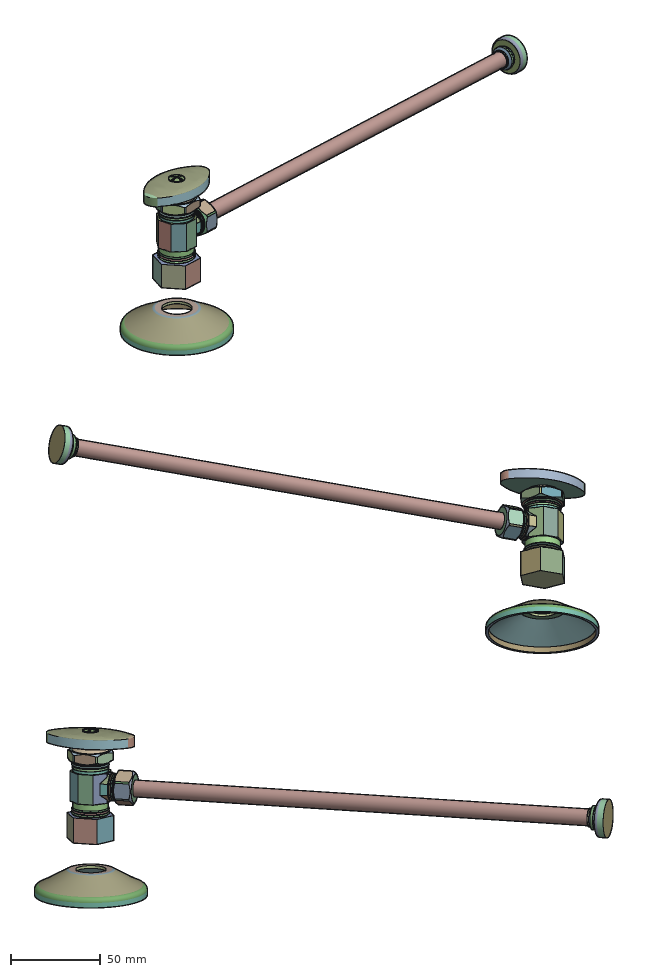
import cadquery as cq
import math


ESC_RADIUS = 31.75
ESC_HEIGHT = 14.7
ESC_WALL = 1.6
ESC_TOP_RADIUS = 13.0
ESC_HOLE_RADIUS = 8.5
ESC_RIM_HEIGHT = 2.8
ESC_SHOULDER_RADIUS = 29.3
ESC_SHOULDER_HEIGHT = 5.6
ESC_TOP_EDGE_ROUND = 3.0

VALVE_Y = -0.25

INLET_NUT_BOTTOM = 32.0
INLET_NUT_TOP = 46.5
INLET_THREAD_TOP = 50.5
BODY_BOTTOM = 54.3
BODY_TOP = 71.5
UPPER_NECK_TOP = 74.5
BONNET_NUT_BOTTOM = 77.4
BONNET_NUT_TOP = 83.6
BONNET_TOP = 85.5
NUT_FLATS = 23.6
BODY_FLATS = 21.6
NECK_RADIUS = 10.0
NECK_LEDGE_HEIGHT = 1.7
NECK_LEDGE_RADIUS = 10.3
THREAD_RADIUS = 10.6
THREAD_DEPTH = 0.7
THREAD_PITCH = 1.3
STEM_RADIUS = 4.8
NUT_CORNER_TRIM = 0.3
NUT_CHAMFER_HEIGHT = 1.2
NUT_CHAMFER_WIDTH = 1.8
BONNET_CONE_RADIUS = 10.5
BONNET_CONE_BASE = 0.1

OUTLET_Z = 62.85
OUTLET_FLATS = 15.6
OUTLET_BOSS_END = 12.0
OUTLET_NUT_START = 15.3
OUTLET_NUT_END = 25.8
OUTLET_NUT_FLATS = 17.7
OUTLET_THREAD_RADIUS = 7.8
TUBE_SOCKET_START = OUTLET_NUT_START

TUBE_RADIUS = 4.8
TUBE_START = TUBE_SOCKET_START + VALVE_Y
TUBE_END = 299.85
FLANGE_RADIUS = 10.9
FLANGE_FACE_RADIUS = 10.0
FLANGE_RIM = 3.4
FLANGE_THICKNESS = 5.4
COLLAR_NECK_RADIUS = 6.2
COLLAR_RADIUS = 6.9
COLLAR_START = 7.2
COLLAR_END = 8.8
COLLAR_TAPER_END = 9.9
COLLAR_LIP_RADIUS = 5.4
COLLAR_LIP_END = 10.9

HANDLE_BOTTOM = 87.0
HANDLE_CREST = 94.4
HANDLE_TOP = 95.59
HANDLE_HALF_LENGTH = 25.4
HANDLE_HALF_WIDTH = 13.8
HANDLE_CORNER_X = 5.0
HANDLE_CORNER_Y = 23.2
HANDLE_RIM = 92.3
SCREW_RADIUS = 4.6
SCREW_EDGE_HEIGHT = 0.5
SCREW_SLOT_WIDTH = 1.0
SCREW_SLOT_LENGTH = 7.6
SCREW_SLOT_DEPTH = 0.8

HEX_SIDES = 6
HEX_TURN = 90
OCTAGON_SIDES = 8
OCTAGON_TURN = 180 / OCTAGON_SIDES


def corner_diameter(flats, sides):
    """Circumscribed diameter of a regular polygon measured across its flats."""
    return flats / math.cos(math.pi / sides)


def disc(radius, start, end):
    """Cylinder on the Z axis between two heights."""
    return cq.Workplane("XY").workplane(offset=start).circle(radius).extrude(end - start)


def prism(flats, sides, turn, start, end):
    """Regular prism on the Z axis, turned about it by an angle in degrees."""
    bar = cq.Workplane("XY").polygon(sides, corner_diameter(flats, sides)).extrude(end - start)
    return bar.rotate((0, 0, 0), (0, 0, 1), turn).translate((0, 0, start))


def hex_nut(flats, start, end):
    """Hexagonal nut on the Z axis, its corners turned off at both ends by a shallow cone."""
    blank = disc(corner_diameter(flats, HEX_SIDES) / 2 - NUT_CORNER_TRIM, start, end)
    turned = blank.edges("%CIRCLE").chamfer(NUT_CHAMFER_HEIGHT, NUT_CHAMFER_WIDTH)
    return prism(flats, HEX_SIDES, HEX_TURN, start, end).intersect(turned)


def thread(radius, start, end):
    """Threaded stretch on the Z axis, as a row of V-shaped rings."""
    turns = max(1, round((end - start) / THREAD_PITCH))
    pitch = (end - start) / turns
    outline = cq.Workplane("XZ").moveTo(0, start).lineTo(radius - THREAD_DEPTH, start)
    for turn in range(turns):
        root = start + turn * pitch
        outline = outline.lineTo(radius, root + pitch / 2)
        outline = outline.lineTo(radius - THREAD_DEPTH, root + pitch)
    return outline.lineTo(0, end).close().revolve(360, (0, 0, 0), (0, 1, 0))


def along_outlet(shape):
    """Lay a shape built on the Z axis along +Y at the outlet height."""
    return shape.rotate((0, 0, 0), (1, 0, 0), -90).translate((0, 0, OUTLET_Z))


def make_escutcheon():
    """Thin domed cover: short rim, rounded shoulder, cone and a flat top with a hole."""
    slope = math.atan2(ESC_HEIGHT - ESC_SHOULDER_HEIGHT, ESC_SHOULDER_RADIUS - ESC_TOP_RADIUS)
    inner_rim_radius = ESC_RADIUS - ESC_WALL
    inner_top_height = ESC_HEIGHT - ESC_WALL
    inner_top_radius = ESC_TOP_RADIUS - ESC_WALL * math.tan(slope / 2)
    inner_shoulder_height = inner_top_height - (inner_rim_radius - inner_top_radius) * math.tan(slope)
    shell = (
        cq.Workplane("XZ")
        .moveTo(inner_rim_radius, 0)
        .lineTo(ESC_RADIUS, 0)
        .lineTo(ESC_RADIUS, ESC_RIM_HEIGHT)
        .tangentArcPoint((ESC_SHOULDER_RADIUS, ESC_SHOULDER_HEIGHT), relative=False)
        .lineTo(ESC_TOP_RADIUS, ESC_HEIGHT)
        .lineTo(ESC_HOLE_RADIUS, ESC_HEIGHT)
        .lineTo(ESC_HOLE_RADIUS, inner_top_height)
        .lineTo(inner_top_radius, inner_top_height)
        .lineTo(inner_rim_radius, inner_shoulder_height)
        .close()
        .revolve(360, (0, 0, 0), (0, 1, 0))
    )
    cone_top_edge = shell.faces(">Z").edges(cq.selectors.RadiusNthSelector(-1))
    return cone_top_edge.fillet(ESC_TOP_EDGE_ROUND)


def make_column():
    """Vertical stack of the valve: inlet nut, threads, octagonal body, bonnet nut and stem."""
    column = prism(NUT_FLATS, HEX_SIDES, HEX_TURN, INLET_NUT_BOTTOM, INLET_NUT_TOP)
    column = column.union(thread(THREAD_RADIUS, INLET_NUT_TOP, INLET_THREAD_TOP))
    column = column.union(disc(NECK_RADIUS, INLET_THREAD_TOP, BODY_BOTTOM))
    column = column.union(prism(BODY_FLATS, OCTAGON_SIDES, OCTAGON_TURN, BODY_BOTTOM, BODY_TOP))
    column = column.union(disc(NECK_RADIUS, BODY_TOP, UPPER_NECK_TOP))
    column = column.union(disc(NECK_LEDGE_RADIUS, BODY_TOP + NECK_LEDGE_HEIGHT, UPPER_NECK_TOP))
    column = column.union(thread(THREAD_RADIUS, UPPER_NECK_TOP, BONNET_NUT_BOTTOM))
    column = column.union(hex_nut(NUT_FLATS, BONNET_NUT_BOTTOM, BONNET_NUT_TOP))
    cone = disc(BONNET_CONE_RADIUS, BONNET_NUT_TOP, BONNET_TOP).faces(">Z")
    column = column.union(cone.chamfer(BONNET_TOP - BONNET_NUT_TOP - BONNET_CONE_BASE))
    return column.union(disc(STEM_RADIUS, BONNET_TOP, HANDLE_BOTTOM))


def make_outlet():
    """Side outlet: octagonal boss, thread and hexagonal compression nut."""
    outlet = prism(OUTLET_FLATS, OCTAGON_SIDES, OCTAGON_TURN, 0, OUTLET_BOSS_END)
    outlet = outlet.union(thread(OUTLET_THREAD_RADIUS, OUTLET_BOSS_END, OUTLET_NUT_START))
    return along_outlet(outlet.union(hex_nut(OUTLET_NUT_FLATS, OUTLET_NUT_START, OUTLET_NUT_END)))


def make_valve():
    """Valve with a blind socket in its outlet nut for the riser tube."""
    socket = along_outlet(disc(TUBE_RADIUS, TUBE_SOCKET_START, OUTLET_NUT_END))
    return make_column().union(make_outlet()).cut(socket).translate((0, VALVE_Y, 0))


def make_tube():
    """Riser tube with a collar and a sealing flange at its far end."""
    flange_round_middle = (
        FLANGE_FACE_RADIUS + (FLANGE_RADIUS - FLANGE_FACE_RADIUS) * math.sin(math.pi / 4),
        TUBE_END - FLANGE_RIM - (FLANGE_THICKNESS - FLANGE_RIM) * math.cos(math.pi / 4),
    )
    profile = (
        cq.Workplane("XZ")
        .moveTo(0, TUBE_START)
        .lineTo(TUBE_RADIUS, TUBE_START)
        .lineTo(TUBE_RADIUS, TUBE_END - COLLAR_LIP_END)
        .lineTo(COLLAR_LIP_RADIUS, TUBE_END - COLLAR_LIP_END)
        .lineTo(COLLAR_LIP_RADIUS, TUBE_END - COLLAR_TAPER_END)
        .lineTo(COLLAR_RADIUS, TUBE_END - COLLAR_END)
        .lineTo(COLLAR_RADIUS, TUBE_END - COLLAR_START)
        .lineTo(COLLAR_NECK_RADIUS, TUBE_END - COLLAR_START)
        .lineTo(COLLAR_NECK_RADIUS, TUBE_END - FLANGE_THICKNESS)
        .lineTo(FLANGE_FACE_RADIUS, TUBE_END - FLANGE_THICKNESS)
        .threePointArc(flange_round_middle, (FLANGE_RADIUS, TUBE_END - FLANGE_RIM))
        .lineTo(FLANGE_RADIUS, TUBE_END)
        .lineTo(0, TUBE_END)
        .close()
    )
    return along_outlet(profile.revolve(360, (0, 0, 0), (0, 1, 0)))


def make_handle():
    """Lens-shaped domed handle with a cross-slotted screw head on top."""
    end_sagitta = HANDLE_HALF_LENGTH - HANDLE_CORNER_Y
    end_radius = (HANDLE_CORNER_X ** 2 + end_sagitta ** 2) / (2 * end_sagitta)
    half_angle = math.asin(HANDLE_CORNER_X / end_radius) / 2
    end_arc_middle = (
        end_radius * math.sin(half_angle),
        -HANDLE_HALF_LENGTH + end_radius * (1 - math.cos(half_angle)),
    )
    rim = (
        cq.Workplane("XY")
        .workplane(offset=HANDLE_BOTTOM)
        .moveTo(HANDLE_CORNER_X, -HANDLE_CORNER_Y)
        .threePointArc((HANDLE_HALF_WIDTH, 0), (HANDLE_CORNER_X, HANDLE_CORNER_Y))
        .threePointArc((0, HANDLE_HALF_LENGTH), (-HANDLE_CORNER_X, HANDLE_CORNER_Y))
        .threePointArc((-HANDLE_HALF_WIDTH, 0), (-HANDLE_CORNER_X, -HANDLE_CORNER_Y))
        .threePointArc((0, -HANDLE_HALF_LENGTH), (HANDLE_CORNER_X, -HANDLE_CORNER_Y))
        .close()
        .extrude(HANDLE_RIM - HANDLE_BOTTOM)
    )
    flatten = (HANDLE_CREST - HANDLE_RIM) / HANDLE_HALF_WIDTH
    crown = (
        cq.Workplane("XY")
        .moveTo(0, -HANDLE_HALF_LENGTH)
        .threePointArc(end_arc_middle, (HANDLE_CORNER_X, -HANDLE_CORNER_Y))
        .threePointArc((HANDLE_HALF_WIDTH, 0), (HANDLE_CORNER_X, HANDLE_CORNER_Y))
        .threePointArc((end_arc_middle[0], -end_arc_middle[1]), (0, HANDLE_HALF_LENGTH))
        .close()
        .revolve(180, (0, 0, 0), (0, -1, 0))
        .val()
        .transformGeometry(cq.Matrix([[1, 0, 0, 0], [0, 1, 0, 0], [0, 0, flatten, HANDLE_RIM]]))
    )
    handle = rim.union(cq.Workplane(crown))
    screw_edge = HANDLE_CREST + SCREW_EDGE_HEIGHT
    screw_arc_middle = (SCREW_RADIUS / 2, HANDLE_TOP - (HANDLE_TOP - screw_edge) / 4)
    screw = (
        cq.Workplane("XZ")
        .moveTo(0, HANDLE_BOTTOM)
        .lineTo(SCREW_RADIUS, HANDLE_BOTTOM)
        .lineTo(SCREW_RADIUS, screw_edge)
        .threePointArc(screw_arc_middle, (0, HANDLE_TOP))
        .close()
        .revolve(360, (0, 0, 0), (0, 1, 0))
    )
    handle = handle.union(screw)
    slot_floor = HANDLE_TOP - SCREW_SLOT_DEPTH
    for turn in (0, 90):
        slot = (
            cq.Workplane("XY")
            .workplane(offset=slot_floor)
            .rect(SCREW_SLOT_LENGTH, SCREW_SLOT_WIDTH)
            .extrude(SCREW_SLOT_DEPTH)
        )
        handle = handle.cut(slot.rotate((0, 0, 0), (0, 0, 1), turn))
    return handle.translate((0, VALVE_Y, 0))


escutcheon = make_escutcheon()
valve = make_valve()
tube = make_tube()
handle = make_handle()

result = cq.Compound.makeCompound([escutcheon.val(), valve.val(), tube.val(), handle.val()])